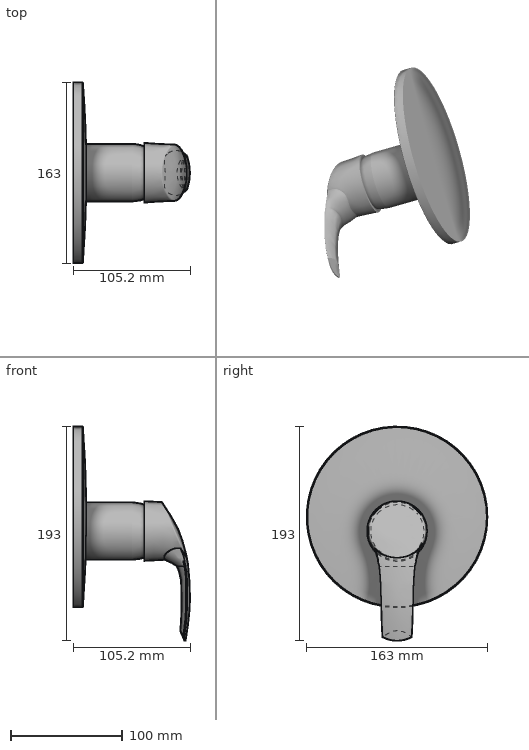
import cadquery as cq
import math

plate_radius = 81.5
rim_thickness = 8.3
dome_start = 8.9
dome_edge_radius = 80.6
dome_top = 12.0

axis_z = -12.7
body_radius = 26.0
shoulder_x = 53.0
hub_x = 63.9
neck_radius = 24.0
neck_bulge = 0.48
hub_radius = 27.0
hub_end_x = 105.1
hub_end_radius = 24.7
hub_edge_fillet = 1.4

front_stations = [
    (17.4, 77.0, 77.4, 29.0),
    (12.0, 79.5, 80.6, 29.0),
    (1.0, 84.5, 87.8, 29.0),
    (-11.5, 90.0, 94.7, 29.0),
    (-27.0, 96.5, 100.0, 26.0),
    (-38.5, 100.1, 102.8, 19.3),
    (-59.8, 102.6, 105.0, 14.9),
    (-81.0, 102.5, 105.1, 14.5),
    (-96.5, 101.5, 103.6, 13.9),
    (-111.9, 99.4, 101.0, 13.1),
]

blade_stations = [
    (-44.4, 93.2, 101.0, 103.6, 16.0),
    (-56.0, 96.5, 102.5, 104.8, 15.0),
    (-69.5, 97.2, 102.6, 105.1, 14.5),
    (-83.0, 97.0, 102.5, 105.0, 14.3),
    (-96.5, 96.5, 101.5, 103.6, 13.9),
    (-111.9, 95.7, 99.4, 101.0, 13.1),
]

root_stations = [
    (-28.0, 72.3, 96.5, 100.0, 19.9),
    (-31.8, 73.7, 98.0, 101.0, 19.0),
    (-35.7, 77.2, 99.4, 102.0, 17.7),
    (-38.5, 82.4, 100.0, 102.6, 17.4),
    (-41.5, 88.5, 100.5, 103.2, 16.8),
    blade_stations[0],
]
blade_edge = 1.2

tip_z = -111.5
tip_corner_z = -108.0
tip_half_width = 13.3
tip_corner_rise = 3.9
tip_bevel_start = (94.5, -98.4)
tip_bevel_end = (100.7, -112.9)


def make_plate():
    """Disc with a slightly domed front face."""
    chord_rise = dome_top - dome_start
    sphere_radius = (dome_edge_radius**2 + chord_rise**2) / (2 * chord_rise)
    mid_radius = dome_edge_radius / 2
    mid_x = dome_top - sphere_radius + math.sqrt(sphere_radius**2 - mid_radius**2)
    return (
        cq.Workplane("XY")
        .lineTo(0, plate_radius)
        .lineTo(rim_thickness, plate_radius)
        .lineTo(dome_start, dome_edge_radius)
        .threePointArc((mid_x, mid_radius), (dome_top, 0))
        .close()
        .revolve(360, (0, 0, 0), (1, 0, 0))
    )


def make_body():
    """Round body with a curved shoulder down to the neck under the hub."""
    shoulder_mid = ((shoulder_x + hub_x) / 2, (body_radius + neck_radius) / 2 + neck_bulge)
    return (
        cq.Workplane("XY")
        .lineTo(0, body_radius)
        .lineTo(shoulder_x, body_radius)
        .threePointArc(shoulder_mid, (hub_x, neck_radius))
        .lineTo(hub_x, 0)
        .close()
        .revolve(360, (0, 0, 0), (1, 0, 0))
        .translate((0, 0, axis_z))
    )


def loft_sections(wires):
    return cq.Workplane(cq.Solid.makeLoft(wires))


def front_section(z, edge_x, crown_x, half_width):
    """Block section reaching from the hub's rear face to the crowned front."""
    return (
        cq.Workplane("XY", origin=(0, 0, z))
        .moveTo(edge_x, -half_width)
        .threePointArc((crown_x, 0), (edge_x, half_width))
        .lineTo(hub_x, half_width)
        .lineTo(hub_x, -half_width)
        .close()
        .val()
    )


def lens_section(z, back_x, edge_x, crown_x, half_width):
    """Lens section with a deep back arc and a shallow front arc."""
    return (
        cq.Workplane("XY", origin=(0, 0, z))
        .moveTo(edge_x, -half_width)
        .threePointArc((crown_x, 0), (edge_x, half_width))
        .lineTo(edge_x - blade_edge, half_width)
        .threePointArc((back_x, 0), (edge_x - blade_edge, -half_width))
        .close()
        .val()
    )


def make_hub():
    """Tapered round hub, cut off by the sloping crowned front face."""
    cone = cq.Workplane(
        cq.Solid.makeCone(
            hub_radius,
            hub_end_radius,
            hub_end_x - hub_x,
            cq.Vector(hub_x, 0, axis_z),
            cq.Vector(1, 0, 0),
        )
    )
    hub = cone.intersect(loft_sections([front_section(*station) for station in front_stations]))
    return hub.faces(">X").edges().fillet(hub_edge_fillet)


def make_blade():
    """Lever blade with a rounded end and a bevel across its back."""
    root = loft_sections([lens_section(*station) for station in root_stations])
    lever = loft_sections([lens_section(*station) for station in blade_stations])
    blade = root.union(lever)
    outline = (
        cq.Workplane("YZ")
        .moveTo(-hub_radius, 0)
        .lineTo(-hub_radius, tip_corner_z + tip_corner_rise)
        .lineTo(-tip_half_width, tip_corner_z)
        .threePointArc((0, tip_z), (tip_half_width, tip_corner_z))
        .lineTo(hub_radius, tip_corner_z + tip_corner_rise)
        .lineTo(hub_radius, 0)
        .close()
        .extrude(2 * hub_end_x)
    )
    bevel = (
        cq.Workplane("XZ")
        .moveTo(*tip_bevel_start)
        .lineTo(*tip_bevel_end)
        .lineTo(tip_bevel_start[0], tip_bevel_end[1])
        .close()
        .extrude(hub_radius, both=True)
    )
    return blade.intersect(outline).cut(bevel)


result = make_plate().union(make_body()).union(make_hub()).union(make_blade())